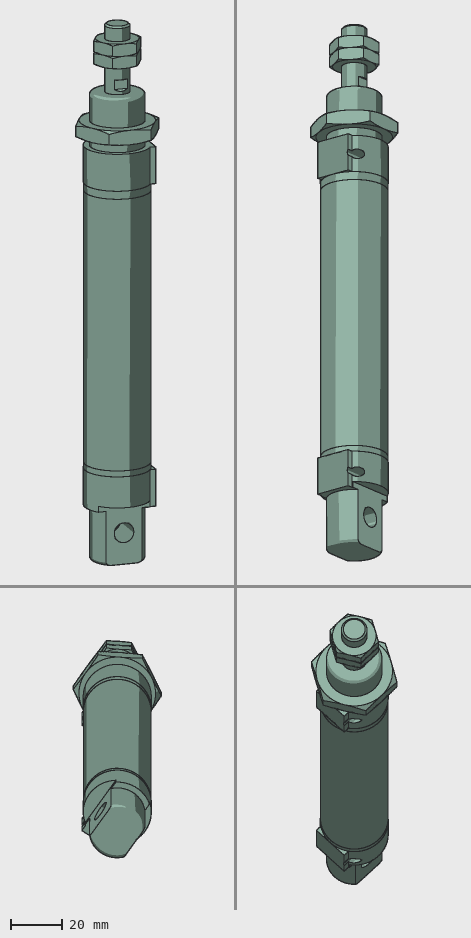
import cadquery as cq
import math

total_height = 219.0
eye_flats_top = 24.7
rear_cover_bottom = 22.3
rear_cover_top = 37.5
barrel_bottom = 39.9
barrel_top = 151.0
front_cover_bottom = 154.2
front_cover_top = 169.3
collar_top = 191.2

cover_diameter = 26.7
barrel_diameter = 26.5
band_diameter = (cover_diameter + barrel_diameter) / 2
collar_diameter = 22.0
collar_rounding = 1.5

eye_thickness = 16.0
eye_pin_diameter = 8.0
eye_pin_height = 13.0

boss_width = 15.3
boss_reach = cover_diameter / 2
screw_diameter = 4.0
screw_offset = -9.2
screw_heights = [29.0, 161.6]

rod_diameter = 10.0
rod_tip_chamfer = 0.77
rod_bottom = barrel_top
wrench_flat_width = 8.5
wrench_flat_bottom = 192.5
wrench_flat_top = 197.0

nut_chamfer_angle = math.radians(20)
mounting_nut_flats = 30.0
mounting_nut_thickness = 6.0
mounting_nut_bottom = 173.5
rod_nut_flats = 17.0
rod_nut_thickness = 5.0
rod_nut_count = 2
rod_nut_bottom = 202.8


def cylinder(diameter, bottom, top):
    """Upright cylinder on the main axis between two heights."""
    return cq.Workplane("XY").workplane(offset=bottom).circle(diameter / 2).extrude(top - bottom)


def block(width, depth, bottom, top):
    """Upright block centred on the main axis between two heights."""
    return cq.Workplane("XY").workplane(offset=bottom).rect(width, depth).extrude(top - bottom)


def make_cover(bottom, top):
    """Round end cover with a straight-sided port boss toward +Y."""
    boss = block(boss_width, boss_reach, bottom, top).translate((0, boss_reach / 2, 0))
    return cylinder(cover_diameter, bottom, top).union(boss)


def cut_eye(body):
    """Mill two flats on the rear end and drill the pivot hole along X."""
    flats = block(2 * cover_diameter, 2 * cover_diameter, 0, eye_flats_top)
    flats = flats.cut(block(eye_thickness, 2 * cover_diameter, 0, eye_flats_top))
    pivot = (
        cq.Workplane("YZ")
        .center(0, eye_pin_height)
        .circle(eye_pin_diameter / 2)
        .extrude(collar_diameter / 2, both=True)
    )
    return body.cut(flats).cut(pivot)


def make_screw_hole(height):
    """Cutter for a hole along Y that breaks out through the -X side of a cover."""
    return (
        cq.Workplane("XZ")
        .center(screw_offset, height)
        .circle(screw_diameter / 2)
        .extrude(-boss_reach)
    )


def make_cylinder_body():
    """Barrel, both covers, the threaded collar and the rear eye as one body."""
    body = cylinder(collar_diameter, 0, collar_top)
    body = body.faces("<Z or >Z").edges().fillet(collar_rounding)
    body = body.union(cylinder(band_diameter, rear_cover_top, barrel_bottom))
    body = body.union(cylinder(barrel_diameter, barrel_bottom, barrel_top))
    body = body.union(cylinder(band_diameter, barrel_top, front_cover_bottom))
    body = body.union(make_cover(rear_cover_bottom, rear_cover_top))
    body = body.union(make_cover(front_cover_bottom, front_cover_top))
    body = cut_eye(body)
    for height in screw_heights:
        body = body.cut(make_screw_hole(height))
    return body.cut(cylinder(rod_diameter, rod_bottom, collar_top))


def make_rod():
    """Piston rod with a chamfered tip and two wrench flats facing X, each ending in a sloped shoulder."""
    rod = cylinder(rod_diameter, rod_bottom, total_height).faces(">Z").chamfer(rod_tip_chamfer)
    flat_depth = (rod_diameter - wrench_flat_width) / 2
    flat = (
        cq.Workplane("XZ")
        .moveTo(rod_diameter / 2, wrench_flat_bottom)
        .lineTo(rod_diameter / 2, wrench_flat_top)
        .lineTo(wrench_flat_width / 2, wrench_flat_top)
        .lineTo(wrench_flat_width / 2, wrench_flat_bottom + flat_depth)
        .close()
        .extrude(rod_diameter / 2, both=True)
    )
    return rod.cut(flat).cut(flat.mirror("YZ"))


def make_nut(flats, thickness, bore, bottom):
    """Hexagon nut, corners along Y, with both ends turned to a shallow cone."""
    corner_radius = flats / math.sqrt(3)
    cone_width = corner_radius - flats / 2
    cone_length = cone_width * math.tan(nut_chamfer_angle)
    turned = cylinder(2 * corner_radius, 0, thickness)
    for end in ("<Z", ">Z"):
        turned = turned.faces(end).chamfer(cone_length, cone_width)
    hexagon = (
        cq.Workplane("XY")
        .polygon(6, 2 * corner_radius)
        .extrude(thickness)
        .rotate((0, 0, 0), (0, 0, 1), 90)
    )
    return hexagon.intersect(turned).cut(cylinder(bore, 0, thickness)).translate((0, 0, bottom))


cylinder_body = make_cylinder_body()
rod = make_rod()
mounting_nut = make_nut(mounting_nut_flats, mounting_nut_thickness, collar_diameter, mounting_nut_bottom)
rod_nuts = []
for index in range(rod_nut_count):
    nut_bottom = rod_nut_bottom + index * rod_nut_thickness
    nut = make_nut(rod_nut_flats, rod_nut_thickness, rod_diameter, nut_bottom)
    rod_nuts.append(nut.val())

result = cq.Compound.makeCompound([cylinder_body.val(), rod.val(), mounting_nut.val(), *rod_nuts])